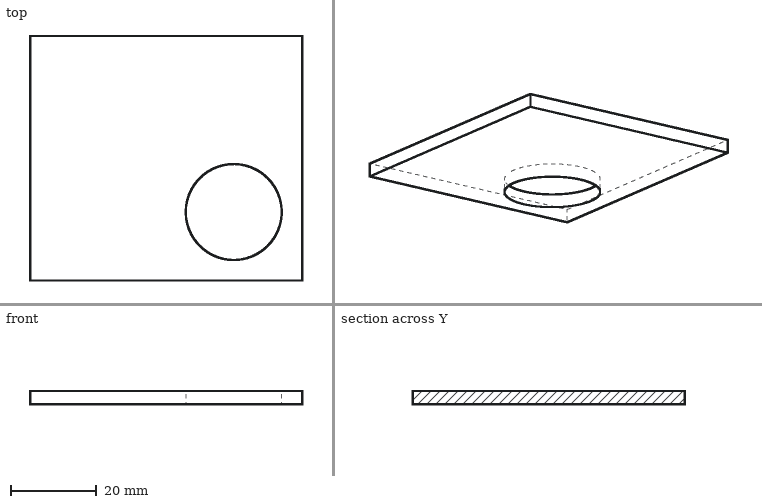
import cadquery as cq

length = 63.5
width = 57.15
thickness = 3.2

hole_diameter = 22.35
hole_edge_distance = 16.0
hole_x = length / 2 - hole_edge_distance
hole_y = -width / 2 + hole_edge_distance

plate = cq.Workplane("XY").box(length, width, thickness)

result = (
    plate.faces(">Z")
    .workplane(origin=(0, 0, 0))
    .center(hole_x, hole_y)
    .hole(hole_diameter)
)